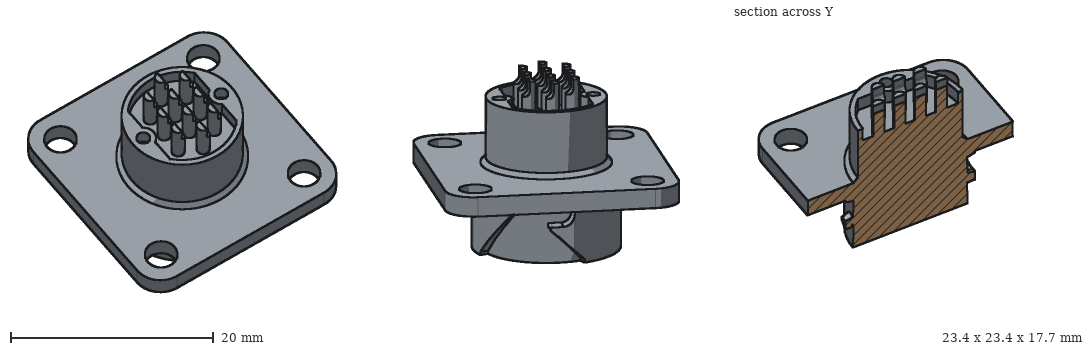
import cadquery as cq
import math

BARREL_LENGTH = 6.58
FLANGE_THICKNESS = 2.0
BODY_TOP = 8.7
PIN_TOP = 11.12

FLANGE_SIDE = 23.4
FLANGE_CORNER_RADIUS = 2.8
MOUNT_HOLE_SPACING = 17.25
MOUNT_HOLE_DIAMETER = 3.2

BARREL_RADIUS = 7.4
BODY_RADIUS = 6.0
FLARE_RADIUS = 6.5
FLARE_HEIGHT = FLARE_RADIUS - BODY_RADIUS

CAVITY_RADIUS = 5.4
CAVITY_HALF_HEIGHT = 4.02
CAVITY_DEPTH = 1.5
GUIDE_HOLE_OFFSET = 4.7
GUIDE_HOLE_DIAMETER = 1.33
GUIDE_HOLE_DEPTH = CAVITY_DEPTH
GUIDE_BOSS_RADIUS = 1.26

PIN_RADIUS = 0.65
PIN_PITCH = 2.39
PIN_ROW_SPACING = 2.18
PINS_PER_ROW = (3, 4, 3)
CUP_HEIGHT = 0.82

SLOT_FLOOR_RADIUS = 6.53
SLOT_LEAD_IN = 0.33
SLOT_LEFT_ANGLE = 71.7
SLOT_RIGHT_ANGLE = -20.9
LEFT_TWIST_PER_HEIGHT = 7.479
RIGHT_TWIST_PER_HEIGHT = 8.547
SLOT_BLEND_RADIUS = 2.8
HOOK_TOP = -0.2
HOOK_HEIGHT = 2.48
HOOK_BOTTOM = HOOK_TOP - HOOK_HEIGHT
HOOK_DRAFT = 15.5
HOOK_CENTER_Y = -0.4
HOOK_LIP_RADIUS = 0.23

SLOT_MARGIN = 1.87
SECTOR_SPAN = 100.0


def make_flange():
    """Square plate with rounded corners and four mounting holes."""
    plate = cq.Workplane("XY").rect(FLANGE_SIDE, FLANGE_SIDE).extrude(FLANGE_THICKNESS)
    plate = plate.edges("|Z").fillet(FLANGE_CORNER_RADIUS)
    hole_grid = plate.faces(">Z").workplane().rect(
        MOUNT_HOLE_SPACING, MOUNT_HOLE_SPACING, forConstruction=True
    )
    return hole_grid.vertices().hole(MOUNT_HOLE_DIAMETER)


def make_round_bodies():
    """Barrel, flared foot and upper body as one turned shape."""
    flare_top = FLANGE_THICKNESS + FLARE_HEIGHT
    profile = [
        (0, -BARREL_LENGTH),
        (BARREL_RADIUS, -BARREL_LENGTH),
        (BARREL_RADIUS, 0),
        (FLARE_RADIUS, FLANGE_THICKNESS),
        (BODY_RADIUS, flare_top),
        (BODY_RADIUS, BODY_TOP),
        (0, BODY_TOP),
    ]
    return cq.Workplane("XZ").polyline(profile).close().revolve(360, (0, 0), (0, 1))


def make_cavity():
    """Round pocket with two flats, notched by the bosses of the blind guide holes."""
    floor = cq.Workplane("XY").workplane(offset=BODY_TOP - CAVITY_DEPTH)
    guide_places = [(0, GUIDE_HOLE_OFFSET), (0, -GUIDE_HOLE_OFFSET)]
    flats = floor.rect(2 * CAVITY_RADIUS, 2 * CAVITY_HALF_HEIGHT).extrude(CAVITY_DEPTH)
    bosses = floor.pushPoints(guide_places).circle(GUIDE_BOSS_RADIUS).extrude(CAVITY_DEPTH)
    pocket = floor.circle(CAVITY_RADIUS).extrude(CAVITY_DEPTH).intersect(flats).cut(bosses)
    guide_holes = (
        cq.Workplane("XY")
        .workplane(offset=BODY_TOP)
        .pushPoints(guide_places)
        .circle(GUIDE_HOLE_DIAMETER / 2)
        .extrude(-GUIDE_HOLE_DEPTH)
    )
    return pocket.union(guide_holes)


def make_pin():
    """Pin at the origin whose +Y half is cut away down to a concave cup."""
    pin_base = BODY_TOP - CAVITY_DEPTH
    cup_z = BODY_TOP + CUP_HEIGHT
    pin = cq.Workplane("XY").workplane(offset=pin_base).circle(PIN_RADIUS).extrude(PIN_TOP - pin_base)
    arc_drop = PIN_RADIUS * (1 - math.sqrt(0.5))
    relief = (
        cq.Workplane("YZ")
        .moveTo(PIN_RADIUS, cup_z)
        .threePointArc((arc_drop, cup_z + arc_drop), (0, cup_z + PIN_RADIUS))
        .lineTo(0, PIN_TOP)
        .lineTo(PIN_RADIUS, PIN_TOP)
        .close()
        .extrude(PIN_RADIUS, both=True)
    )
    return pin.cut(relief)


def pin_places():
    """Centers of the pins, row by row."""
    places = []
    for row, count in enumerate(PINS_PER_ROW):
        y = (row - (len(PINS_PER_ROW) - 1) / 2) * PIN_ROW_SPACING
        for column in range(count):
            places.append(((column - (count - 1) / 2) * PIN_PITCH, y))
    return places


def slot_point(radius, angle):
    """Plan position at a slot angle, measured from the -X axis toward +Y."""
    return (-radius * math.cos(math.radians(angle)), radius * math.sin(math.radians(angle)))


def slot_edge_at(angle, height):
    """Selector for the edge that crosses the slot depth nearest to a slot angle and height."""
    middle_radius = (SLOT_FLOOR_RADIUS + BARREL_RADIUS) / 2
    return cq.selectors.NearestToPointSelector((*slot_point(middle_radius, angle), height))


def slot_sector(start_angle, end_angle, bottom):
    """Ring sector sketched at height `bottom`, wide enough to cross the slot depth."""
    inner = SLOT_FLOOR_RADIUS - SLOT_MARGIN
    outer = BARREL_RADIUS + SLOT_MARGIN
    middle_angle = (start_angle + end_angle) / 2
    return (
        cq.Workplane("XY")
        .workplane(offset=bottom)
        .moveTo(*slot_point(inner, start_angle))
        .lineTo(*slot_point(outer, start_angle))
        .threePointArc(slot_point(outer, middle_angle), slot_point(outer, end_angle))
        .lineTo(*slot_point(inner, end_angle))
        .threePointArc(slot_point(inner, middle_angle), slot_point(inner, start_angle))
        .close()
    )


def drafted_ring(bottom, bottom_is_drafted):
    """Ring from `bottom` to the hook top that narrows in height toward the slot floor."""
    draft = math.tan(math.radians(HOOK_DRAFT))
    inner = SLOT_FLOOR_RADIUS - SLOT_MARGIN / 2
    outer = BARREL_RADIUS + SLOT_MARGIN / 2
    inner_rise = (BARREL_RADIUS - inner) * draft
    outer_rise = (outer - BARREL_RADIUS) * draft
    bottom_factor = 1 if bottom_is_drafted else 0
    profile = [
        (inner, HOOK_TOP - inner_rise),
        (outer, HOOK_TOP + outer_rise),
        (outer, bottom - outer_rise * bottom_factor),
        (inner, bottom + inner_rise * bottom_factor),
    ]
    return cq.Workplane("XZ").polyline(profile).close().revolve(360, (0, 0), (0, 1))


def make_slot():
    """Bayonet slot on the -X side: a helical funnel that ends in a rounded hook."""
    ramp_start = SLOT_LEAD_IN - BARREL_LENGTH
    left_limit_start = SLOT_LEFT_ANGLE - SECTOR_SPAN
    right_limit_end = SLOT_RIGHT_ANGLE + SECTOR_SPAN
    hook_angle = math.degrees(math.asin(HOOK_CENTER_Y / BARREL_RADIUS))

    lead_in = slot_sector(SLOT_RIGHT_ANGLE, SLOT_LEFT_ANGLE, -BARREL_LENGTH).extrude(SLOT_LEAD_IN)

    left_height = SLOT_MARGIN - ramp_start
    left_limit = slot_sector(left_limit_start, SLOT_LEFT_ANGLE, ramp_start).twistExtrude(
        left_height, left_height * LEFT_TWIST_PER_HEIGHT
    )
    left_limit = left_limit.intersect(drafted_ring(ramp_start, False))
    blend_angle = SLOT_LEFT_ANGLE - (HOOK_TOP - ramp_start) * LEFT_TWIST_PER_HEIGHT
    left_limit = left_limit.edges(slot_edge_at(blend_angle, HOOK_TOP)).fillet(SLOT_BLEND_RADIUS)

    right_height = HOOK_BOTTOM + HOOK_HEIGHT / 2 - ramp_start
    funnel = (
        slot_sector(SLOT_RIGHT_ANGLE, right_limit_end, ramp_start)
        .twistExtrude(right_height, -right_height * RIGHT_TWIST_PER_HEIGHT)
        .intersect(left_limit)
    )
    gallery = (
        slot_sector(hook_angle, right_limit_end, HOOK_BOTTOM - SLOT_MARGIN)
        .extrude(HOOK_HEIGHT + 2 * SLOT_MARGIN)
        .intersect(drafted_ring(HOOK_BOTTOM, True))
        .intersect(left_limit)
    )
    hook_end = (
        cq.Workplane("YZ")
        .workplane(offset=-BARREL_RADIUS)
        .center(HOOK_CENTER_Y, (HOOK_TOP + HOOK_BOTTOM) / 2)
        .circle(HOOK_HEIGHT / 2)
        .extrude(SLOT_MARGIN, taper=HOOK_DRAFT)
    )
    cutter = lead_in.union(funnel).union(gallery).union(hook_end)
    slot_floor = (
        cq.Workplane("XY")
        .workplane(offset=-BARREL_LENGTH)
        .circle(SLOT_FLOOR_RADIUS)
        .extrude(BARREL_LENGTH)
    )
    lip_angle = SLOT_RIGHT_ANGLE + (HOOK_BOTTOM - ramp_start) * RIGHT_TWIST_PER_HEIGHT
    cutter = cutter.edges(slot_edge_at(lip_angle, HOOK_BOTTOM)).fillet(HOOK_LIP_RADIUS)
    return cutter.cut(slot_floor)


shell = make_round_bodies().cut(make_cavity())
slot = make_slot()
for turn in (0, 180):
    shell = shell.cut(slot.rotate((0, 0, 0), (0, 0, 1), turn))

result = make_flange().union(shell)
pin = make_pin()
for x, y in pin_places():
    result = result.union(pin.translate((x, y, 0)))